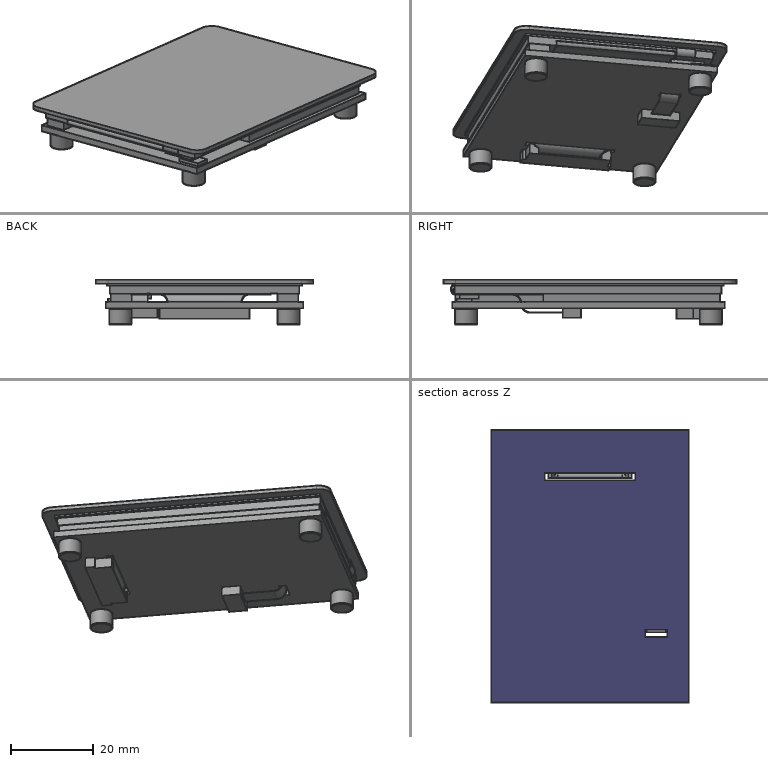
import cadquery as cq
import math


standoff_height = 4.0
board_thickness = 1.6
spacer_thickness = 2.0
display_thickness = 1.9
sensor_thickness = 0.5
cover_thickness = 1.0

board_bottom = standoff_height
board_top = board_bottom + board_thickness
display_bottom = board_top + spacer_thickness
sensor_bottom = display_bottom + display_thickness
cover_bottom = sensor_bottom + sensor_thickness

cover_width = 52.9
cover_length = 71.3
cover_corner_radius = 2.9

sensor_width = 47.5
sensor_rear = 32.6

display_width = 46.1
display_rear = 32.0
display_front = -33.0

board_width = 48.05
board_length = 66.3
board_center_y = -0.35

spacer_outer_x = 22.8
spacer_width = 5.05
spacer_rear = 31.65
left_spacer_front = -32.8
right_spacer_front = -11.4

standoff_diameter = 5.5
standoff_chamfer = 0.2
standoff_spacing_x = 40.9
standoff_spacing_y = 59.5

tail_thickness = 0.15
tail_bottom = 7.3
tail_end_bottom = 2.9
tail_bend_radius = (tail_bottom - tail_end_bottom - tail_thickness) / 2
tail_drop_length = 2 * tail_bend_radius + tail_thickness

display_tail_left = -16.1
display_tail_right = 13.5
display_tail_top = 8.9
display_tail_reach = -33.5
display_tail_drop_start = 19.25
display_tail_taper_start = 7.1
display_tail_taper_end = 22.8
display_tail_drop_width = 21.4
display_tail_end_width = 15.7

touch_tail_left = 13.75
touch_tail_right = 18.5
touch_tail_reach = -33.9
touch_tail_drop_start = -18.9

stiffener_left = 12.9
stiffener_right = 21.2
stiffener_front = -31.65
stiffener_length = 4.55
stiffener_bottom = 6.35

display_connector_width = 21.95
display_connector_bottom = 1.4
display_connector_front = 25.1
display_connector_rear = 27.45
latch_width = 20.4
latch_front = 21.0
latch_opening_width = 15.7
latch_flare_width = 18.55
latch_floor_thickness = 0.3

touch_connector_left = 11.4
touch_connector_right = 20.8
touch_connector_front = -6.6
touch_connector_rear = -2.15
touch_connector_bottom = 1.7

chip_left = 17.75
chip_right = 23.5
chip_front = -32.4
chip_length = 3.6
chip_height = 0.8

slot_side_clearance = 0.3
slot_end_clearance = 0.85


def block(x_range, y_range, z_range):
    """Box between two limits on each axis."""
    low, high = zip(x_range, y_range, z_range)
    sizes = [end - start for start, end in zip(low, high)]
    return cq.Workplane("XY").box(*sizes, centered=False).translate(low)


def centered_block(width, y_range, z_range):
    """Box that is symmetric about X = 0."""
    return block((-width / 2, width / 2), y_range, z_range)


def wrap_radius(top):
    """Outer radius of a half-round wrap between the given height and the tail's underside."""
    return (top - tail_bottom) / 2


def ribbon_wrap(x_range, reach, top):
    """Half-round strip from the given height round to the flat part of the tail."""
    radius = wrap_radius(top)
    middle = tail_bottom + radius
    start = reach + radius
    return (
        cq.Workplane("YZ", origin=(x_range[0], 0, 0))
        .moveTo(start, top)
        .threePointArc((reach, middle), (start, tail_bottom))
        .lineTo(start, tail_bottom + tail_thickness)
        .threePointArc((reach + tail_thickness, middle), (start, top - tail_thickness))
        .close()
        .extrude(x_range[1] - x_range[0])
    )


def ribbon_run(x_range, start, drop_start, end):
    """Flat strip under the display that drops in an S-bend and ends flat below the board."""
    inner = tail_bend_radius
    outer = tail_bend_radius + tail_thickness
    top = tail_bottom + tail_thickness
    end_top = tail_end_bottom + tail_thickness
    middle = tail_bottom - inner
    drop_end = drop_start + tail_drop_length
    diagonal = math.sqrt(0.5)
    return (
        cq.Workplane("YZ", origin=(x_range[0], 0, 0))
        .moveTo(start, tail_bottom)
        .lineTo(drop_start, tail_bottom)
        .threePointArc(
            (drop_start + inner * diagonal, middle + inner * diagonal),
            (drop_start + inner, middle),
        )
        .threePointArc(
            (drop_end - outer * diagonal, middle - outer * diagonal),
            (drop_end, tail_end_bottom),
        )
        .lineTo(end, tail_end_bottom)
        .lineTo(end, end_top)
        .lineTo(drop_end, end_top)
        .threePointArc(
            (drop_end - inner * diagonal, middle - inner * diagonal),
            (drop_end - inner, middle),
        )
        .threePointArc(
            (drop_start + outer * diagonal, middle + outer * diagonal),
            (drop_start, top),
        )
        .lineTo(start, top)
        .close()
        .extrude(x_range[1] - x_range[0])
    )


def make_cover():
    return (
        cq.Workplane("XY", origin=(0, 0, cover_bottom))
        .rect(cover_width, cover_length)
        .extrude(cover_thickness)
        .edges("|Z")
        .fillet(cover_corner_radius)
    )


def make_touch_sensor():
    """Sensor layer with its ribbon tail and the stiffener under the tail."""
    tail_x = (touch_tail_left, touch_tail_right)
    layer = centered_block(sensor_width, (display_front, sensor_rear), (sensor_bottom, cover_bottom))
    wrap = ribbon_wrap(tail_x, touch_tail_reach, cover_bottom)
    run_start = touch_tail_reach + wrap_radius(cover_bottom)
    run = ribbon_run(tail_x, run_start, touch_tail_drop_start, touch_connector_front)
    stiffener = block(
        (stiffener_left, stiffener_right),
        (stiffener_front, stiffener_front + stiffener_length),
        (stiffener_bottom, tail_bottom),
    )
    return layer.union(wrap).union(run).union(stiffener)


def display_tail_outline():
    """Prism over the tapered plan shape of the display tail."""
    drop_half = display_tail_drop_width / 2
    end_half = display_tail_end_width / 2
    return (
        cq.Workplane("XY")
        .polyline([
            (display_tail_left, display_front),
            (display_tail_right, display_front),
            (display_tail_right, display_tail_taper_start),
            (drop_half, display_tail_drop_start),
            (end_half, display_tail_taper_end),
            (end_half, display_connector_front),
            (-end_half, display_connector_front),
            (-end_half, display_tail_taper_end),
            (-drop_half, display_tail_drop_start),
            (display_tail_left, display_tail_taper_start),
        ])
        .close()
        .extrude(display_bottom)
    )


def make_display():
    """Display panel with its ribbon tail."""
    tail_x = (display_tail_left, display_tail_right)
    panel = centered_block(display_width, (display_front, display_rear), (display_bottom, sensor_bottom))
    wrap = ribbon_wrap(tail_x, display_tail_reach, display_tail_top)
    run_start = display_tail_reach + wrap_radius(display_tail_top)
    run = ribbon_run(tail_x, run_start, display_tail_drop_start, display_connector_front)
    return panel.union(wrap).union(run.intersect(display_tail_outline()))


def make_spacer(inner_x, front):
    return block(
        (inner_x, inner_x + spacer_width),
        (front, spacer_rear),
        (board_top, display_bottom),
    )


def tail_slot(x_range, drop_start):
    """Cutter for the board slot around the steep part of a tail."""
    middle = drop_start + tail_drop_length / 2
    return block(
        (x_range[0] - slot_side_clearance, x_range[1] + slot_side_clearance),
        (middle - slot_end_clearance, middle + slot_end_clearance),
        (board_bottom, board_top),
    )


def make_display_connector():
    """Housing with a latch in front; the latch opening flares towards the board to clear the tail."""
    housing = centered_block(
        display_connector_width,
        (display_connector_front, display_connector_rear),
        (display_connector_bottom, board_bottom),
    )
    latch_y = (latch_front, display_connector_front)
    latch = centered_block(latch_width, latch_y, (display_connector_bottom, board_bottom))
    half_width = latch_opening_width / 2
    half_flare = latch_flare_width / 2
    floor_top = display_connector_bottom + latch_floor_thickness
    opening = (
        cq.Workplane("XZ", origin=(0, display_connector_front, 0))
        .polyline([
            (-half_width, floor_top),
            (half_width, floor_top),
            (half_width, tail_end_bottom),
            (half_flare, board_bottom),
            (-half_flare, board_bottom),
            (-half_width, tail_end_bottom),
        ])
        .close()
        .extrude(display_connector_front - latch_front)
    )
    return housing.union(latch.cut(opening))


def make_board():
    """Circuit board with tail slots, both ribbon connectors and a chip."""
    board_y = (board_center_y - board_length / 2, board_center_y + board_length / 2)
    drop_half = display_tail_drop_width / 2
    board = centered_block(board_width, board_y, (board_bottom, board_top))
    board = board.cut(tail_slot((-drop_half, drop_half), display_tail_drop_start))
    board = board.cut(tail_slot((touch_tail_left, touch_tail_right), touch_tail_drop_start))
    touch_connector = block(
        (touch_connector_left, touch_connector_right),
        (touch_connector_front, touch_connector_rear),
        (touch_connector_bottom, board_bottom),
    )
    chip = block(
        (chip_left, chip_right),
        (chip_front, chip_front + chip_length),
        (board_top, board_top + chip_height),
    )
    return board.union(make_display_connector()).union(touch_connector).union(chip)


def make_standoff(x, y):
    """Round standoff with both end edges chamfered."""
    return (
        cq.Workplane("XY", origin=(x, y, 0))
        .circle(standoff_diameter / 2)
        .extrude(standoff_height)
        .edges("%CIRCLE")
        .chamfer(standoff_chamfer)
    )


cover = make_cover()
touch_sensor = make_touch_sensor()
display = make_display()
left_spacer = make_spacer(-spacer_outer_x, left_spacer_front)
right_spacer = make_spacer(spacer_outer_x - spacer_width, right_spacer_front)
board = make_board()
standoffs = [
    make_standoff(side_x * standoff_spacing_x / 2, board_center_y + side_y * standoff_spacing_y / 2)
    for side_x in (-1, 1)
    for side_y in (-1, 1)
]

result = cq.Compound.makeCompound([
    cover.val(),
    touch_sensor.val(),
    display.val(),
    left_spacer.val(),
    right_spacer.val(),
    board.val(),
    *[standoff.val() for standoff in standoffs],
])